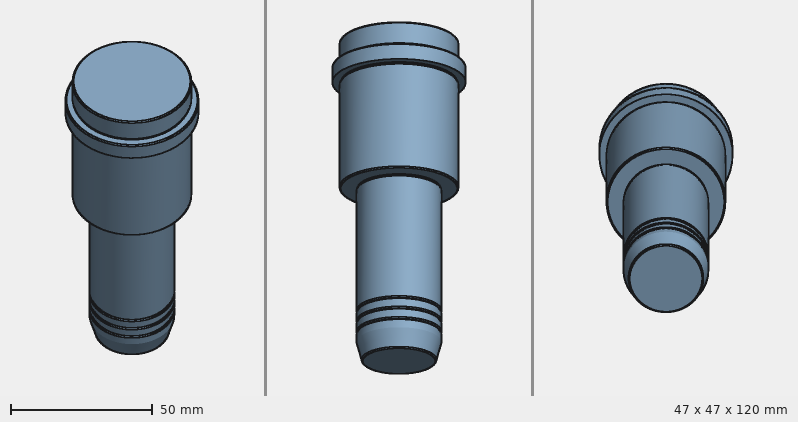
import cadquery as cq
import math

total_height = 120.0
cap_height = 9.0
flange_thickness = 6.0
body_length = 40.0

flange_radius = 23.5
body_radius = 21.0
shank_radius = 15.0

edge_chamfer = 0.5
neck_height = 0.5
shank_neck_height = 0.7
shank_neck_depth = 0.4

taper_start = 7.1
taper_angle = 15.0
tip_chamfer = 0.5

groove_count = 3
groove_pitch = 4.0
groove_width = 1.0
groove_depth = 0.5
lowest_groove = 10.1

flange_top = total_height - cap_height
flange_bottom = flange_top - flange_thickness
body_bottom = flange_bottom - body_length
shank_top = body_bottom - shank_neck_height
neck_radius = body_radius - edge_chamfer
shank_neck_radius = shank_radius - shank_neck_depth
tip_radius = shank_radius - (taper_start - tip_chamfer) * math.tan(math.radians(taper_angle))


def cylinder(radius, bottom, top):
    """Solid cylinder on the Z axis between two heights."""
    return cq.Workplane("XY").workplane(offset=bottom).circle(radius).extrude(top - bottom)


def revolve_outline(points):
    """Solid of revolution about Z from a closed outline of (radius, height) points."""
    return cq.Workplane("XZ").polyline(points).close().revolve(360, (0, 0, 0), (0, 1, 0))


def make_cap():
    """Top disc, chamfered on both edges, on a narrow neck."""
    disc_bottom = flange_top + neck_height
    neck = cylinder(neck_radius, flange_top, disc_bottom)
    disc = cylinder(body_radius, disc_bottom, total_height)
    return neck.union(disc.faces("<Z or >Z").chamfer(edge_chamfer))


def make_flange():
    """Collar with a chamfered upper edge."""
    return cylinder(flange_radius, flange_bottom, flange_top).faces(">Z").chamfer(edge_chamfer)


def make_body():
    """Main cylinder, chamfered on both edges, below a narrow neck."""
    barrel_top = flange_bottom - neck_height
    neck = cylinder(neck_radius, barrel_top, flange_bottom)
    barrel = cylinder(body_radius, body_bottom, barrel_top)
    return neck.union(barrel.faces("<Z or >Z").chamfer(edge_chamfer))


def make_shank():
    """Shank with a shallow neck at its top and a tapered, chamfered tip."""
    return revolve_outline([
        (0, 0),
        (tip_radius - tip_chamfer, 0),
        (tip_radius, tip_chamfer),
        (shank_radius, taper_start),
        (shank_radius, shank_top),
        (shank_neck_radius, shank_top),
        (shank_neck_radius, body_bottom),
        (0, body_bottom),
    ])


def make_groove(bottom):
    """V-section ring to cut into the shank surface."""
    return revolve_outline([
        (shank_radius, bottom),
        (shank_radius - groove_depth, bottom + groove_width / 2),
        (shank_radius, bottom + groove_width),
    ])


result = make_shank().union(make_body()).union(make_flange()).union(make_cap())

for index in range(groove_count):
    result = result.cut(make_groove(lowest_groove + index * groove_pitch))